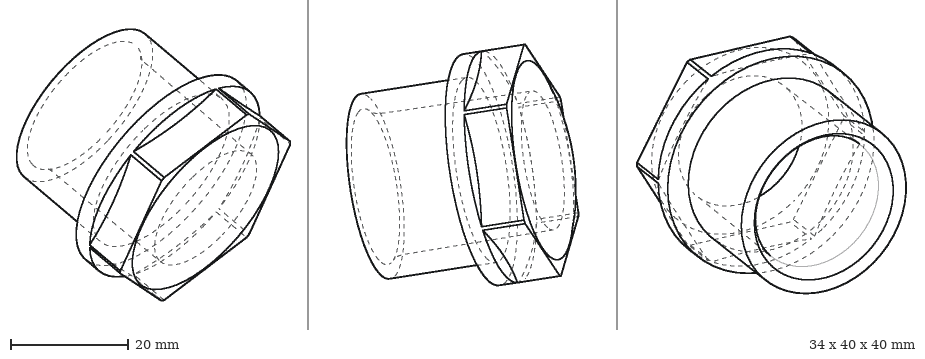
import cadquery as cq
import math

flange_start = 19.0
flange_end = 22.4
hex_end = 30.0
overall_length = 34.0

tube_radius = 16.0
flange_radius = 20.0
hex_across_flats = 35.0
dome_radius = 17.2
collar_angle = 15.0

mouth_radius = 13.5
mouth_depth = 3.0
bore_throat_radius = 12.2
bore_end_radius = 12.0
bore_depth = hex_end


def cylinder(start, end, radius):
    return cq.Workplane("YZ").workplane(offset=start).circle(radius).extrude(end - start)


def revolve_about_x(profile):
    return profile.close().revolve(360, (0, 0, 0), (1, 0, 0))


def make_hexagon():
    """Hexagon with flats facing +Z and -Z and corners trimmed to the flange radius."""
    across_corners = hex_across_flats / math.cos(math.pi / 6)
    length = hex_end - flange_end
    prism = cq.Workplane("YZ").workplane(offset=flange_end).polygon(6, across_corners).extrude(length)
    return prism.intersect(cylinder(flange_end, hex_end, flange_radius))


def make_collar():
    """Shallow cone running from the flange rim down to the hexagon flats."""
    flat_radius = hex_across_flats / 2
    cone_length = (flange_radius - flat_radius) * math.tan(math.radians(collar_angle))
    return revolve_about_x(
        cq.Workplane("XY")
        .moveTo(flange_end, 0)
        .lineTo(flange_end, flange_radius)
        .lineTo(flange_end + cone_length, flat_radius)
        .lineTo(flange_end + cone_length, 0)
    )


def make_dome():
    """Spherical cap on the closed end."""
    height = overall_length - hex_end
    sphere_radius = (dome_radius**2 + height**2) / (2 * height)
    mid_radius = dome_radius / 2
    mid_x = overall_length - sphere_radius + math.sqrt(sphere_radius**2 - mid_radius**2)
    return revolve_about_x(
        cq.Workplane("XY")
        .moveTo(hex_end, 0)
        .lineTo(hex_end, dome_radius)
        .threePointArc((mid_x, mid_radius), (overall_length, 0))
    )


def make_bore():
    """Blind bore whose flared mouth blends smoothly into a slightly tapered wall."""
    radial_step = mouth_radius - bore_throat_radius
    arc_radius = (mouth_depth**2 + radial_step**2) / (2 * radial_step)
    mid_x = mouth_depth / 2
    mid_radius = bore_throat_radius + arc_radius - math.sqrt(arc_radius**2 - mid_x**2)
    return revolve_about_x(
        cq.Workplane("XY")
        .moveTo(0, 0)
        .lineTo(0, mouth_radius)
        .threePointArc((mid_x, mid_radius), (mouth_depth, bore_throat_radius))
        .lineTo(bore_depth, bore_end_radius)
        .lineTo(bore_depth, 0)
    )


body = cylinder(0, flange_start, tube_radius)
body = body.union(cylinder(flange_start, flange_end, flange_radius))
body = body.union(make_hexagon()).union(make_collar()).union(make_dome())
result = body.cut(make_bore())